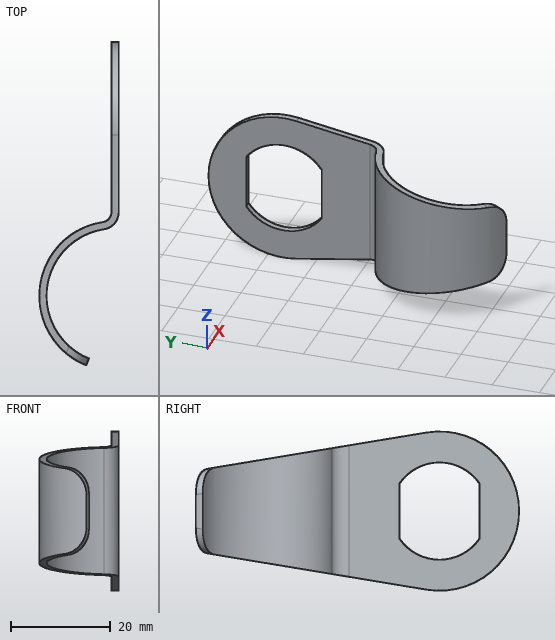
import cadquery as cq
import math

length = 64.9
head_diameter = 32.0
thickness = 1.5
depth = 16.0
hook_radius = 15.0
bend_inner_radius = 2.0
tip_angle = math.radians(21.7)
taper_angle = math.radians(9.4)
tip_corner_radius = 5.0
end_margin = 1.3
hole_diameter = 19.5
hole_flats = 16.0

head_radius = head_diameter / 2
tip_y = head_radius - length
hook_inner_radius = hook_radius - thickness
bend_outer_radius = bend_inner_radius + thickness
plate_back_x = thickness
hook_x = plate_back_x - depth + hook_radius
hook_y = tip_y + hook_radius * math.cos(tip_angle)
bend_x = plate_back_x - bend_outer_radius
center_distance = hook_inner_radius + bend_outer_radius
bend_y = hook_y + math.sqrt(center_distance**2 - (bend_x - hook_x) ** 2)
join_angle = math.atan2(bend_y - hook_y, bend_x - hook_x)
tip_direction = 1.5 * math.pi - tip_angle
hook_mid_angle = (join_angle + tip_direction) / 2
bend_mid_angle = (join_angle - math.pi) / 2


def hook_point(radius, angle):
    return (hook_x + radius * math.cos(angle), hook_y + radius * math.sin(angle))


def bend_point(radius, angle):
    return (bend_x + radius * math.cos(angle), bend_y + radius * math.sin(angle))


def make_bent_strip():
    """Constant-thickness plate, bend and hook, as wide as the head."""
    return (
        cq.Workplane("XY")
        .workplane(offset=-head_radius)
        .moveTo(0, head_radius)
        .lineTo(0, bend_y)
        .threePointArc(
            bend_point(bend_inner_radius, bend_mid_angle),
            hook_point(hook_radius, join_angle),
        )
        .threePointArc(
            hook_point(hook_radius, hook_mid_angle),
            hook_point(hook_radius, tip_direction),
        )
        .lineTo(*hook_point(hook_inner_radius, tip_direction))
        .threePointArc(
            hook_point(hook_inner_radius, hook_mid_angle),
            hook_point(hook_inner_radius, join_angle),
        )
        .threePointArc(
            bend_point(bend_outer_radius, bend_mid_angle),
            (plate_back_x, bend_y),
        )
        .lineTo(plate_back_x, head_radius)
        .close()
        .extrude(head_diameter)
    )


def make_outline():
    """Round head with tangent tapering edges, extruded across the full depth."""
    tangent_y = -head_radius * math.sin(taper_angle)
    tangent_z = head_radius * math.cos(taper_angle)
    end_y = tip_y - end_margin
    end_z = tangent_z - (tangent_y - end_y) * math.tan(taper_angle)
    return (
        cq.Workplane("YZ")
        .workplane(offset=plate_back_x - depth)
        .moveTo(end_y, -end_z)
        .lineTo(tangent_y, -tangent_z)
        .threePointArc((head_radius, 0), (tangent_y, tangent_z))
        .lineTo(end_y, end_z)
        .close()
        .extrude(depth)
    )


def make_tip_envelope():
    """Outline block ending on the radial tip plane, with its two corners rounded."""
    front_x = plate_back_x - depth
    end_y = tip_y - end_margin
    plane_reach = hook_radius + end_margin / math.cos(tip_angle)
    block = (
        cq.Workplane("XY")
        .workplane(offset=-head_radius)
        .moveTo(hook_x, hook_y)
        .lineTo(*hook_point(plane_reach, tip_direction))
        .lineTo(front_x, end_y)
        .lineTo(front_x, head_radius)
        .lineTo(plate_back_x, head_radius)
        .lineTo(plate_back_x, hook_y)
        .close()
        .extrude(head_diameter)
        .intersect(make_outline())
    )
    tip_middle = (*hook_point(hook_radius / 2, tip_direction), 0)
    tip_face = block.faces(cq.selectors.NearestToPointSelector(tip_middle))
    return tip_face.edges("not(|Z)").fillet(tip_corner_radius)


def make_hole():
    """Round hole with two flats facing along Y."""
    disc = cq.Workplane("YZ").circle(hole_diameter / 2).extrude(thickness)
    flats = cq.Workplane("YZ").rect(hole_flats, hole_diameter).extrude(thickness)
    return disc.intersect(flats)


result = make_bent_strip().intersect(make_tip_envelope()).cut(make_hole())